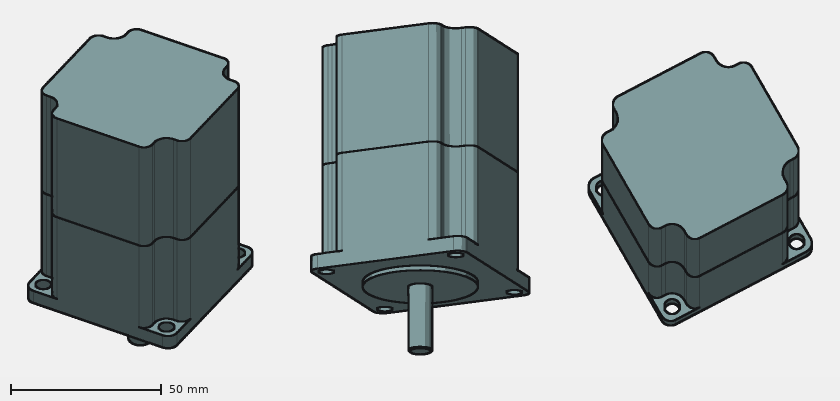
import cadquery as cq

total_height = 104.0
width = 56.4

flange_thickness = 5.1
flange_corner_radius = 3.4
hole_diameter = 5.2
hole_inset = 4.63

boss_diameter = 38.3
boss_height = 1.7
shaft_diameter = 8.0
shaft_length = 22.4
tip_chamfer = 0.4
flat_depth = 0.6
flat_length = 19.5

notch_size = 9.3
notch_inner_radius = notch_size - hole_inset
notch_outer_radius = 3.2
rear_height = 41.0

flange_bottom = shaft_length + boss_height
flange_top = flange_bottom + flange_thickness
rear_bottom = total_height - rear_height


def notched_block(bottom, top):
    """Square block whose four vertical corners are cut back and rounded."""
    height = top - bottom
    block = cq.Workplane("XY").workplane(offset=bottom).rect(width, width).extrude(height)
    notches = (
        cq.Workplane("XY")
        .workplane(offset=bottom)
        .rect(width, width, forConstruction=True)
        .vertices()
        .rect(2 * notch_size, 2 * notch_size)
        .extrude(height)
    )
    block = block.cut(notches)

    reach = width / 2 - hole_inset
    concave_corners = cq.selectors.BoxSelector(
        (-reach, -reach, bottom), (reach, reach, top)
    )
    block = block.edges("|Z").edges(concave_corners).fillet(notch_inner_radius)
    for side_face in ("<X", ">X", "<Y", ">Y"):
        block = block.faces(side_face).edges("|Z").fillet(notch_outer_radius)
    return block


def mounting_flange():
    """Rounded square plate with four screw holes."""
    hole_spacing = width - 2 * hole_inset
    return (
        cq.Workplane("XY")
        .workplane(offset=flange_bottom)
        .rect(width, width)
        .extrude(flange_thickness)
        .edges("|Z")
        .fillet(flange_corner_radius)
        .faces(">Z")
        .workplane()
        .rect(hole_spacing, hole_spacing, forConstruction=True)
        .vertices()
        .hole(hole_diameter)
    )


def pilot_boss():
    """Round locating boss under the flange."""
    return cq.Workplane("XY").workplane(offset=shaft_length).circle(boss_diameter / 2).extrude(boss_height)


def output_shaft():
    """Round shaft with a chamfered tip and a flat on its +Y side."""
    shaft = (
        cq.Workplane("XY")
        .circle(shaft_diameter / 2)
        .extrude(shaft_length)
        .faces("<Z")
        .chamfer(tip_chamfer)
    )
    flat_y = shaft_diameter / 2 - flat_depth
    flat_cut = (
        cq.Workplane("XY")
        .box(shaft_diameter, shaft_diameter, flat_length, centered=(True, False, False))
        .translate((0, flat_y, 0))
    )
    return shaft.cut(flat_cut)


front_motor = (
    notched_block(flange_top, rear_bottom)
    .union(mounting_flange())
    .union(pilot_boss())
    .union(output_shaft())
)

rear_housing = notched_block(rear_bottom, total_height)

result = cq.Compound.makeCompound([front_motor.val(), rear_housing.val()])